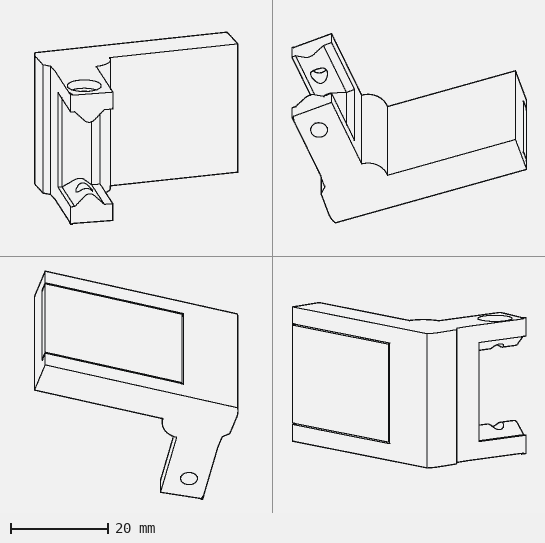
import cadquery as cq
import math

LENGTH = 42.1
HEIGHT = 28.1
WALL_THICKNESS = 7.5
WALL_FRONT = 0.1

CORNER_RADIUS = 5.15
CORNER_WIDTH = 2.53
STEP_SIZE = 1.3
KNUCKLE_RADIUS = 4.2
KNUCKLE_Y = 10.25

ARM_TILT = 5.0
ARM_WIDTH = 8.9
TIP_X = 26.78
TILT_COS = math.cos(math.radians(ARM_TILT))
TILT_SIN = math.sin(math.radians(ARM_TILT))

OPENING_DEPTH = 12.12
OPENING_HEIGHT = 20.7
RIDGE_HEIGHT = 2.53
RIDGE_BASE = 6.25
RIDGE_SLOPE_HEIGHT = 2.25
RIDGE_CROWN_WIDTH = 1.75

HOLE_FROM_TIP = 5.05
HOLE_ACROSS = 3.95
HOLE_DIAMETER = 3.45
COUNTERBORE_DIAMETER = 7.0
COUNTERBORE_DEPTH = 1.8

LIP_HEIGHT = 0.15
LIP_LENGTH = 1.25
LIP_WIDTH = 0.35

RECESS_LENGTH = 29.75
RECESS_HEIGHT = 21.05
PANEL_THICKNESS = 2.1
PANEL_GAP = 0.3


def arm_point(along, across):
    """Turn local arm coordinates, measured from the tip's front corner, into X and Y."""
    x = TIP_X + along * TILT_COS + across * TILT_SIN
    y = -along * TILT_SIN + across * TILT_COS
    return (x, y)


def in_arm_frame(shape):
    """Move a shape from local arm coordinates to its place on the bracket."""
    return shape.rotate((0, 0, 0), (0, 0, 1), -ARM_TILT).translate((TIP_X, 0, 0))


def make_blank():
    """Extrude the bracket outline, centred on Z = 0."""
    corner_rise = CORNER_RADIUS - math.sqrt(CORNER_RADIUS**2 - CORNER_WIDTH**2)
    half_angle = math.asin(CORNER_WIDTH / CORNER_RADIUS) / 2
    corner_mid = (
        CORNER_WIDTH - CORNER_RADIUS * math.sin(half_angle),
        WALL_FRONT + CORNER_RADIUS * (1 - math.cos(half_angle)),
    )
    diagonal = KNUCKLE_RADIUS * math.sqrt(0.5)
    bend_along = -STEP_SIZE / TILT_SIN
    return (
        cq.Workplane("XY")
        .workplane(offset=-HEIGHT / 2)
        .moveTo(0, LENGTH)
        .lineTo(0, WALL_FRONT + corner_rise)
        .threePointArc(corner_mid, (CORNER_WIDTH, WALL_FRONT))
        .lineTo(WALL_THICKNESS, WALL_FRONT)
        .lineTo(WALL_THICKNESS + STEP_SIZE, STEP_SIZE)
        .lineTo(*arm_point(bend_along, 0))
        .lineTo(*arm_point(0, 0))
        .lineTo(*arm_point(0, ARM_WIDTH))
        .lineTo(WALL_THICKNESS + KNUCKLE_RADIUS, KNUCKLE_Y)
        .threePointArc(
            (WALL_THICKNESS + diagonal, KNUCKLE_Y + diagonal),
            (WALL_THICKNESS, KNUCKLE_Y + KNUCKLE_RADIUS),
        )
        .lineTo(WALL_THICKNESS, LENGTH)
        .close()
        .extrude(HEIGHT)
    )


def make_opening():
    """Box-shaped opening, open at the tip, in local arm coordinates."""
    return (
        cq.Workplane("XY")
        .box(2 * OPENING_DEPTH, 2 * ARM_WIDTH, OPENING_HEIGHT)
        .translate((0, ARM_WIDTH / 2, 0))
    )


def make_ridge():
    """Sweep the rounded ridge, in line with the screw hole, around the three sides of the opening."""
    half_base = RIDGE_BASE / 2
    half_crown = RIDGE_CROWN_WIDTH / 2
    half_opening = OPENING_HEIGHT / 2
    path = cq.Workplane("XZ", origin=(0, HOLE_ACROSS, 0)).polyline([
        (0, -half_opening),
        (-OPENING_DEPTH, -half_opening),
        (-OPENING_DEPTH, half_opening),
        (0, half_opening),
    ])
    return (
        cq.Workplane("YZ", origin=(0, HOLE_ACROSS, -half_opening))
        .moveTo(-half_base, 0)
        .lineTo(-half_crown, RIDGE_SLOPE_HEIGHT)
        .threePointArc((0, RIDGE_HEIGHT), (half_crown, RIDGE_SLOPE_HEIGHT))
        .lineTo(half_base, 0)
        .close()
        .sweep(path, transition="right")
    )


def make_screw_hole():
    """Through hole with a counterbore from the top, in local arm coordinates."""
    hole = cq.Workplane("XY").circle(HOLE_DIAMETER / 2).extrude(HEIGHT / 2, both=True)
    counterbore = (
        cq.Workplane("XY")
        .workplane(offset=HEIGHT / 2 - COUNTERBORE_DEPTH)
        .circle(COUNTERBORE_DIAMETER / 2)
        .extrude(COUNTERBORE_DEPTH)
    )
    return hole.union(counterbore).translate((-HOLE_FROM_TIP, HOLE_ACROSS, 0))


def make_lips():
    """Triangular corner lips above and below the tip, in local arm coordinates."""
    lip = (
        cq.Workplane("XY")
        .workplane(offset=HEIGHT / 2)
        .polyline([(0, 0), (0, LIP_WIDTH), (-LIP_LENGTH, 0)])
        .close()
        .extrude(LIP_HEIGHT)
    )
    return [lip, lip.mirror("XY")]


def make_panel_block(gap):
    """Block at the +Y end of the outer wall face, set in by a gap on three sides."""
    length = RECESS_LENGTH - gap
    return cq.Workplane("XY").box(
        PANEL_THICKNESS, length, RECESS_HEIGHT - 2 * gap, centered=(False, False, True)
    ).translate((0, LENGTH - length, 0))


def make_bracket():
    bracket = make_blank().cut(in_arm_frame(make_opening()))
    bracket = bracket.union(in_arm_frame(make_ridge()))
    bracket = bracket.cut(in_arm_frame(make_screw_hole()))
    for lip in make_lips():
        bracket = bracket.union(in_arm_frame(lip))
    return bracket.cut(make_panel_block(0))


bracket = make_bracket()
panel = make_panel_block(PANEL_GAP)

result = cq.Compound.makeCompound([bracket.val(), panel.val()])